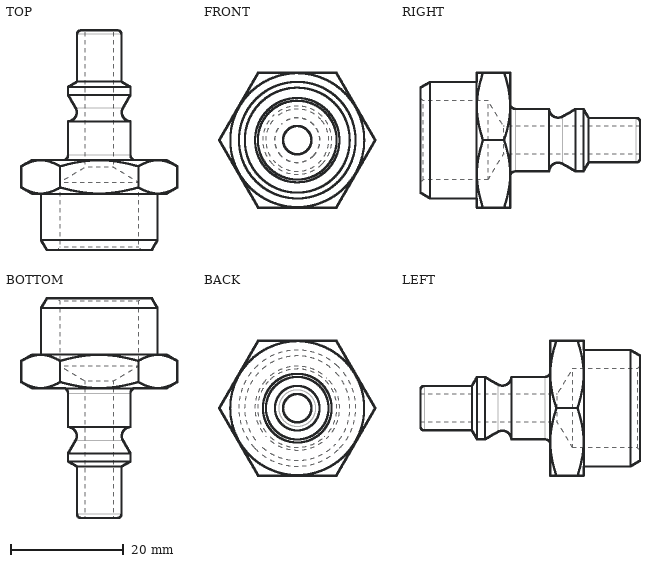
import cadquery as cq
import math

total_length = 39.0

thread_radius = 20.7 / 2
thread_chamfer_length = 1.75
thread_face_radius = 9.32

hex_across_flats = 24.0
hex_start = 10.0
hex_end = 16.0
hex_face_radius = 11.9
hex_chamfer_angle = math.radians(30)

collar_radius = 11.1 / 2
neck_fillet_length = 0.9
neck_fillet_height = 0.55
neck_fillet_radius = 1.0
groove_start = 22.85
groove_cone_end = 27.55
groove_radius = 4.0
groove_arc_radius = 1.6
groove_cone_angle = math.radians(30)
collar_end = 28.95
collar_cone_end = 29.87
tip_radius = 7.9 / 2
tip_fillet_radius = 0.7

through_radius = 5.0 / 2
bore_radius = 14.0 / 2
bore_mouth_radius = 7.5
bore_chamfer_length = 0.5
bore_depth = 12.0
bore_cone_half_angle = math.radians(59)


def revolve_about_y(profile):
    """Turn a closed (radius, station) profile a full circle about the Y axis."""
    return profile.close().revolve(360, (0, 0, 0), (0, 1, 0))


def make_hexagon():
    """Hexagon with corners on the X axis, both faces chamfered by a cone."""
    corner_radius = hex_across_flats / math.sqrt(3)
    chamfer_length = (corner_radius - hex_face_radius) * math.tan(hex_chamfer_angle)
    prism = (
        cq.Workplane("XZ", origin=(0, hex_start, 0))
        .polygon(6, 2 * corner_radius)
        .extrude(hex_start - hex_end)
    )
    envelope = revolve_about_y(
        cq.Workplane("XY")
        .moveTo(0, hex_start)
        .lineTo(hex_face_radius, hex_start)
        .lineTo(corner_radius, hex_start + chamfer_length)
        .lineTo(corner_radius, hex_end - chamfer_length)
        .lineTo(hex_face_radius, hex_end)
        .lineTo(0, hex_end)
    )
    return prism.intersect(envelope)


def make_thread_body():
    """Plain threaded-end cylinder with a chamfered front edge."""
    return revolve_about_y(
        cq.Workplane("XY")
        .lineTo(thread_face_radius, 0)
        .lineTo(thread_radius, thread_chamfer_length)
        .lineTo(thread_radius, hex_end)
        .lineTo(0, hex_end)
    )


def make_nipple():
    """Stepped nipple with a locking groove behind its collar."""
    arc_center_radius = groove_radius + groove_arc_radius
    tangent_radius = arc_center_radius - groove_arc_radius * math.cos(groove_cone_angle)
    cone_length = (collar_radius - tangent_radius) / math.tan(groove_cone_angle)
    tangent_station = groove_cone_end - cone_length
    groove_bottom = tangent_station - groove_arc_radius * math.sin(groove_cone_angle)
    neck_end = hex_end + neck_fillet_length
    return revolve_about_y(
        cq.Workplane("XY")
        .moveTo(0, hex_start)
        .lineTo(collar_radius + neck_fillet_height, hex_start)
        .lineTo(collar_radius + neck_fillet_height, hex_end)
        .radiusArc((collar_radius, neck_end), neck_fillet_radius)
        .lineTo(collar_radius, groove_start)
        .threePointArc((groove_radius, groove_bottom), (tangent_radius, tangent_station))
        .lineTo(collar_radius, groove_cone_end)
        .lineTo(collar_radius, collar_end)
        .lineTo(tip_radius, collar_cone_end)
        .lineTo(tip_radius, total_length - tip_fillet_radius)
        .radiusArc((tip_radius - tip_fillet_radius, total_length), -tip_fillet_radius)
        .lineTo(0, total_length)
    )


def make_bore():
    """Chamfered blind bore with a conical floor, leading into a through hole."""
    cone_length = (bore_radius - through_radius) / math.tan(bore_cone_half_angle)
    return revolve_about_y(
        cq.Workplane("XY")
        .lineTo(bore_mouth_radius, 0)
        .lineTo(bore_radius, bore_chamfer_length)
        .lineTo(bore_radius, bore_depth)
        .lineTo(through_radius, bore_depth + cone_length)
        .lineTo(through_radius, total_length)
        .lineTo(0, total_length)
    )


result = make_thread_body().union(make_hexagon()).union(make_nipple()).cut(make_bore())